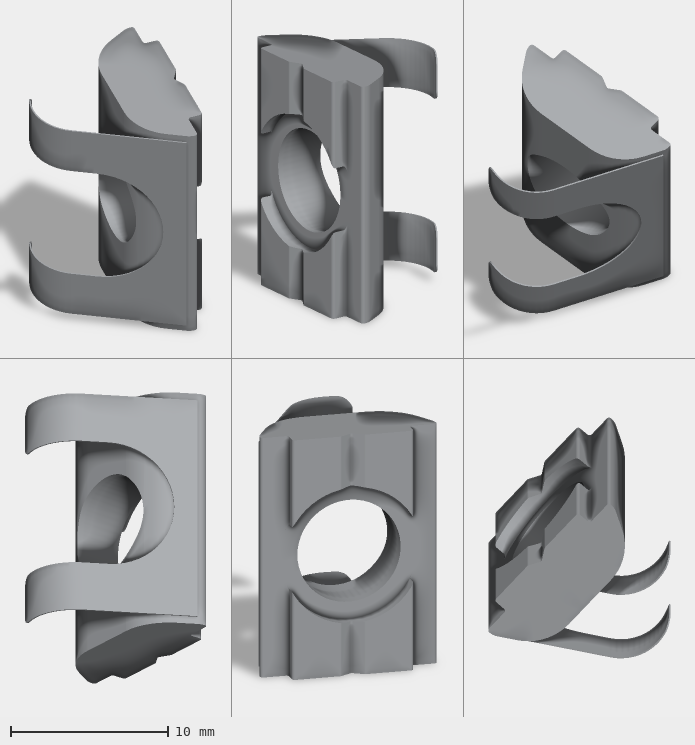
import cadquery as cq
import math


length = 16.0
half_width = 5.8
body_depth = 4.6
rib_half_width = 3.98
rib_height = 1.0
flat_half_width = 2.0
flank_angle = math.radians(60)
lower_radius = 3.49
side_radius = 1.0
edge_radius = 0.2
notch_half_width = 0.8
notch_depth = 0.46
notch_radius = 0.2
hole_diameter = 6.8
gap_length = 4.32

spring_thickness = 0.1
spring_length = 15.0
spring_reach = 9.8
curl_radius = 3.2
curl_past_bottom = math.radians(33)
tip_radius = 0.93
leg_gap = 8.45
leg_gap_edge = 0.2

flank_x = flat_half_width + lower_radius * math.sin(flank_angle)
flank_y = -body_depth + lower_radius * (1 - math.cos(flank_angle))


def flank_y_at(x):
    """Y of the straight flank, extended, at a given X."""
    return flank_y + (x - flank_x) * math.tan(flank_angle)


def round_z_edges(solid, x, y, radius):
    """Round the pair of lengthwise edges at +x and -x."""
    reach = 0.008
    for side in (-1, 1):
        box = cq.selectors.BoxSelector(
            (side * x - reach, y - reach, -length),
            (side * x + reach, y + reach, length),
            boundingbox=False,
        )
        solid = solid.edges("|Z").edges(box).fillet(radius)
    return solid


def make_body():
    mid_angle = flank_angle / 2
    arc_mid_x = flat_half_width + lower_radius * math.sin(mid_angle)
    arc_mid_y = -body_depth + lower_radius * (1 - math.cos(mid_angle))
    side_y = flank_y_at(half_width)
    body = (
        cq.Workplane("XY")
        .moveTo(-flat_half_width, -body_depth)
        .lineTo(flat_half_width, -body_depth)
        .threePointArc((arc_mid_x, arc_mid_y), (flank_x, flank_y))
        .lineTo(half_width, side_y)
        .lineTo(half_width, -rib_height)
        .lineTo(rib_half_width, -rib_height)
        .lineTo(rib_half_width, 0)
        .lineTo(notch_half_width, 0)
        .lineTo(0, -notch_depth)
        .lineTo(-notch_half_width, 0)
        .lineTo(-rib_half_width, 0)
        .lineTo(-rib_half_width, -rib_height)
        .lineTo(-half_width, -rib_height)
        .lineTo(-half_width, side_y)
        .lineTo(-flank_x, flank_y)
        .threePointArc((-arc_mid_x, arc_mid_y), (-flat_half_width, -body_depth))
        .close()
        .extrude(length / 2, both=True)
    )
    body = round_z_edges(body, half_width, side_y, side_radius)
    body = round_z_edges(body, half_width, -rib_height, edge_radius)
    body = round_z_edges(body, rib_half_width, -rib_height, edge_radius)
    body = round_z_edges(body, rib_half_width, 0, edge_radius)
    body = round_z_edges(body, notch_half_width, 0, notch_radius)
    notch_bottom = cq.selectors.BoxSelector(
        (-0.16, -notch_depth - 0.16, -length), (0.16, -notch_depth + 0.16, length)
    )
    return body.edges("|Z").edges(notch_bottom).fillet(notch_radius)


def make_hole_cutter():
    """Through hole along Y, with a counterbore as deep as the rib."""
    hole = cq.Workplane("XZ").circle(hole_diameter / 2).extrude(body_depth)
    counterbore_radius = math.hypot(rib_half_width, gap_length / 2)
    counterbore = cq.Workplane("XZ").circle(counterbore_radius).extrude(rib_height)
    return hole.union(counterbore)


def make_spring():
    """Leaf lying on the +X flank, curling under the nut and split into two legs."""
    inner_radius = curl_radius - spring_thickness
    normal_x = math.sin(flank_angle)
    normal_y = -math.cos(flank_angle)
    curl_y = -spring_reach + curl_radius
    tangent_y = curl_y + inner_radius * normal_y
    tangent_x = flank_x - (flank_y - tangent_y) / math.tan(flank_angle)
    curl_x = tangent_x - inner_radius * normal_x

    def on_curl(radius, angle):
        """Point on the curl, with the angle measured from straight down toward +X."""
        return curl_x + radius * math.sin(angle), curl_y - radius * math.cos(angle)

    side_tangent = side_radius * math.tan((math.pi / 2 - flank_angle) / 2)
    start_x = half_width - side_tangent * math.cos(flank_angle)
    start_y = flank_y_at(start_x)
    outer_start = (start_x + spring_thickness * normal_x, start_y + spring_thickness * normal_y)

    tip_angle = -curl_past_bottom
    leaf = (
        cq.Workplane("XY")
        .moveTo(start_x, start_y)
        .lineTo(tangent_x, tangent_y)
        .threePointArc(on_curl(inner_radius, 0), on_curl(inner_radius, tip_angle))
        .lineTo(*on_curl(curl_radius, tip_angle))
        .threePointArc(on_curl(curl_radius, 0), on_curl(curl_radius, flank_angle))
        .lineTo(*outer_start)
        .close()
        .extrude(spring_length / 2, both=True)
    )

    gap_radius = leg_gap / 2
    flank_plane = cq.Plane(
        origin=(flank_x, flank_y, 0),
        xDir=(-math.cos(flank_angle), -math.sin(flank_angle), 0),
        normal=(normal_x, normal_y, 0),
    )
    gap_center = leg_gap_edge + gap_radius
    round_end = cq.Workplane(flank_plane).center(gap_center, 0).circle(gap_radius)
    leaf = leaf.cut(round_end.extrude(spring_thickness * 2, both=True))
    slot = (
        cq.Workplane(flank_plane)
        .center(gap_center + spring_reach, 0)
        .rect(spring_reach * 2, leg_gap)
        .extrude(spring_reach, both=True)
    )
    leaf = leaf.cut(slot)
    return round_leg_tips(leaf, on_curl(curl_radius, tip_angle)[0])


def round_leg_tips(leaf, tip_x):
    """Round the free corners of both legs, as seen along Y."""
    center_x = tip_x + tip_radius
    for side in (-1, 1):
        for corner_z, inward in ((spring_length / 2, -1), (leg_gap / 2, 1)):
            corner_z *= side
            center_z = corner_z + side * inward * tip_radius
            corner = (
                cq.Workplane("XZ")
                .center((tip_x + center_x) / 2, (corner_z + center_z) / 2)
                .rect(tip_radius, tip_radius)
                .extrude(spring_reach * 2)
            )
            rounding = (
                cq.Workplane("XZ")
                .center(center_x, center_z)
                .circle(tip_radius)
                .extrude(spring_reach * 2)
            )
            leaf = leaf.cut(corner.cut(rounding))
    return leaf


result = make_body().cut(make_hole_cutter()).union(make_spring())